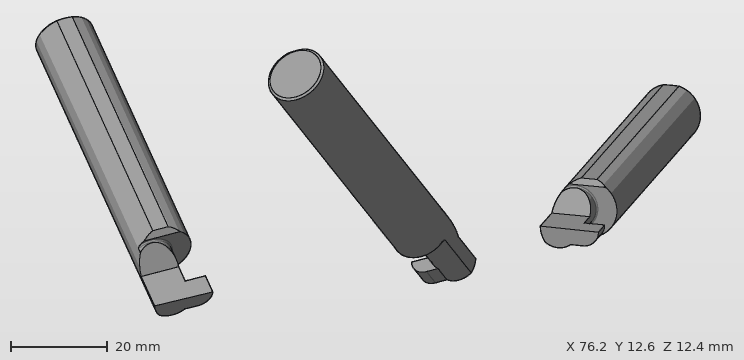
import cadquery as cq
import math

total_length = 76.2
shank_radius = 6.3
shank_length = 62.4
flat_height = 6.1
end_chamfer_length = 0.3
end_chamfer_depth = 0.5

neck_radius = 4.4
neck_side = 1.9
neck_center_y = neck_side - neck_radius
neck_fillet = 0.3
slope_end = 67.35

tip_start = 71.5
tip_radius = 3.4
tip_center_y = shank_radius - tip_radius

edge_setback = 0.3
end_relief_angle = 2.0
cut_margin = 3.8


def rod(start, end, radius, center_y=0):
    """Cylinder along X between two stations."""
    return cq.Workplane("YZ", origin=(start, center_y, 0)).circle(radius).extrude(end - start)


def make_shank():
    return rod(0, shank_length, shank_radius).faces("<X").chamfer(end_chamfer_length, end_chamfer_depth)


def make_neck():
    """Eccentric neck, flared into the shoulder and kept inside the shank envelope."""
    flare_end = shank_length + neck_fillet
    flared_radius = neck_radius + neck_fillet
    arc_offset = neck_fillet * (1 - math.sqrt(0.5))
    flare = (
        cq.Workplane("XY")
        .moveTo(shank_length, neck_center_y)
        .lineTo(shank_length, neck_center_y + flared_radius)
        .threePointArc(
            (shank_length + arc_offset, neck_center_y + neck_radius + arc_offset),
            (flare_end, neck_center_y + neck_radius),
        )
        .lineTo(flare_end, neck_center_y)
        .close()
        .revolve(360, (shank_length, neck_center_y, 0), (flare_end, neck_center_y, 0))
    )
    neck = rod(shank_length, total_length, neck_radius, neck_center_y).union(flare)
    return neck.intersect(rod(0, total_length, shank_radius))


def make_tip():
    """Cutting tip reaching sideways from the neck to the shank radius."""
    length = total_length - tip_start
    bridge_width = tip_center_y - neck_center_y
    bridge = cq.Workplane("XY").box(length, bridge_width, tip_radius, centered=False)
    bridge = bridge.translate((tip_start, neck_center_y, -tip_radius))
    return rod(tip_start, total_length, tip_radius, tip_center_y).union(bridge)


def make_top_cut():
    """Space above the clamping flat, the 45 degree slope and the rake face."""
    top = shank_radius + cut_margin
    far = total_length + cut_margin
    return (
        cq.Workplane("XZ")
        .polyline([
            (-cut_margin, flat_height),
            (slope_end - flat_height, flat_height),
            (slope_end, 0),
            (far, 0),
            (far, top),
            (-cut_margin, top),
        ])
        .close()
        .extrude(shank_radius + cut_margin, both=True)
    )


def make_end_cut():
    """Block beyond the end face, which leans back in Y and in Z."""
    size = 4 * shank_radius
    skew = math.degrees(math.atan(edge_setback / (2 * shank_radius)))
    block = cq.Workplane("XY").box(size, size, size, centered=(False, True, True))
    block = block.rotate((0, 0, 0), (0, 1, 0), end_relief_angle)
    block = block.rotate((0, 0, 0), (0, 0, 1), -skew)
    return block.translate((total_length, shank_radius, 0))


result = make_shank().union(make_neck()).union(make_tip()).cut(make_top_cut()).cut(make_end_cut())